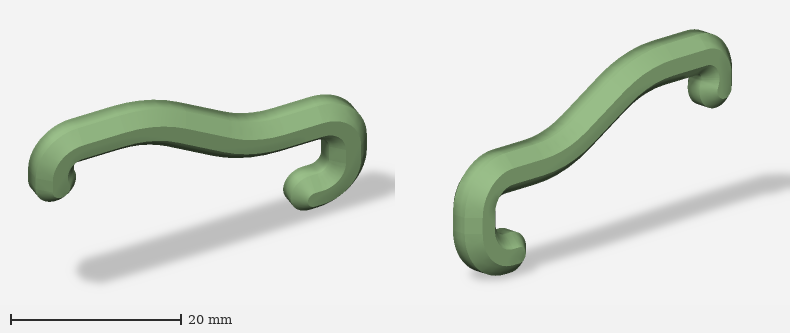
import cadquery as cq
import math

LENGTH = 43.5
HEIGHT = 22.5
BAR_WIDTH = 5.0
THICKNESS = 5.0
FLAT_WIDTH = 2.0
CHAMFER = (THICKNESS - FLAT_WIDTH) / 2
HALF_WIDTH = BAR_WIDTH / 2

HOOK_RADIUS = 4.0
HOOK_UPRIGHT = 2.0
HOOK_TIP_STRAIGHT = 1.0
LOWER_STRAIGHT = 5.0

S_RADIUS = 15.0
S_ANGLE = 30.0
s_rise = HEIGHT - BAR_WIDTH - 2 * HOOK_RADIUS - HOOK_UPRIGHT
s_sin = math.sin(math.radians(S_ANGLE))
s_cos = math.cos(math.radians(S_ANGLE))
s_straight = (s_rise - 2 * S_RADIUS * (1 - s_cos)) / s_sin
s_run = 2 * S_RADIUS * s_sin + s_straight * s_cos

END_RADIUS = 3.0
END_STRAIGHT = 1.6
BULB_RADIUS = 2.65
BULB_FILLET = 0.52
upper_straight = LENGTH - BAR_WIDTH - HOOK_RADIUS - LOWER_STRAIGHT - s_run - END_RADIUS

CENTRELINE = [
    (HOOK_TIP_STRAIGHT, 0),
    (HOOK_RADIUS, 90),
    (HOOK_UPRIGHT, 0),
    (HOOK_RADIUS, 90),
    (LOWER_STRAIGHT, 0),
    (S_RADIUS, -S_ANGLE),
    (s_straight, 0),
    (S_RADIUS, S_ANGLE),
    (upper_straight, 0),
    (END_RADIUS, 90),
    (END_STRAIGHT, 0),
]


def beside(station, offset):
    """Point at a distance to the left of a (y, z, heading) station."""
    y, z, heading = station
    angle = math.radians(heading)
    return (y - offset * math.sin(angle), z + offset * math.cos(angle))


def advance(station, size, turn):
    """Station reached after one straight or arc."""
    y, z, heading = station
    if turn == 0:
        angle = math.radians(heading)
        return (y + size * math.cos(angle), z + size * math.sin(angle), heading)
    to_centre = math.copysign(size, turn)
    centre = beside(station, to_centre)
    new_heading = heading + turn
    return (*beside((*centre, new_heading), -to_centre), new_heading)


def follow(start, segments):
    """List (start, middle, end, is_arc) for each segment of the centreline."""
    pieces = []
    station = start
    for size, turn in segments:
        middle = advance(station, size if turn else size / 2, turn / 2)
        end = advance(station, size, turn)
        pieces.append((station, middle, end, turn != 0))
        station = end
    return pieces


def draw_wall(sketch, middle, end, is_arc, offset):
    """Add one stretch of a bar wall to the outline."""
    if is_arc:
        return sketch.threePointArc(beside(middle, offset), beside(end, offset))
    return sketch.lineTo(*beside(end, offset))


tip_y = LENGTH / 2 - HALF_WIDTH - HOOK_RADIUS - HOOK_TIP_STRAIGHT
tip = (tip_y, HALF_WIDTH - HEIGHT / 2, 0)
pieces = follow(tip, CENTRELINE)
bar_end = pieces[-1][2]

bulb_y = bar_end[0] - HALF_WIDTH + BULB_RADIUS
bulb_z = bar_end[1]
inner_wall_y = bar_end[0] + HALF_WIDTH
neck_z = bulb_z + math.sqrt(BULB_RADIUS**2 - (inner_wall_y - bulb_y) ** 2)

outline = cq.Workplane("YZ", origin=(-THICKNESS / 2, 0, 0)).moveTo(*beside(tip, -HALF_WIDTH))
for start, middle, end, is_arc in pieces:
    outline = draw_wall(outline, middle, end, is_arc, -HALF_WIDTH)
outline = outline.threePointArc((bulb_y, bulb_z - BULB_RADIUS), (inner_wall_y, neck_z))
outline = outline.lineTo(*beside(pieces[-1][0], HALF_WIDTH))
for start, middle, end, is_arc in reversed(pieces[:-1]):
    outline = draw_wall(outline, middle, start, is_arc, HALF_WIDTH)
outline = outline.threePointArc((tip[0] - HALF_WIDTH, tip[1]), beside(tip, -HALF_WIDTH)).close()

bar = outline.extrude(THICKNESS)
neck = cq.selectors.NearestToPointSelector((0, inner_wall_y, neck_z))
bar = bar.edges("|X").edges(neck).fillet(BULB_FILLET)
result = bar.faces("<X or >X").chamfer(CHAMFER)